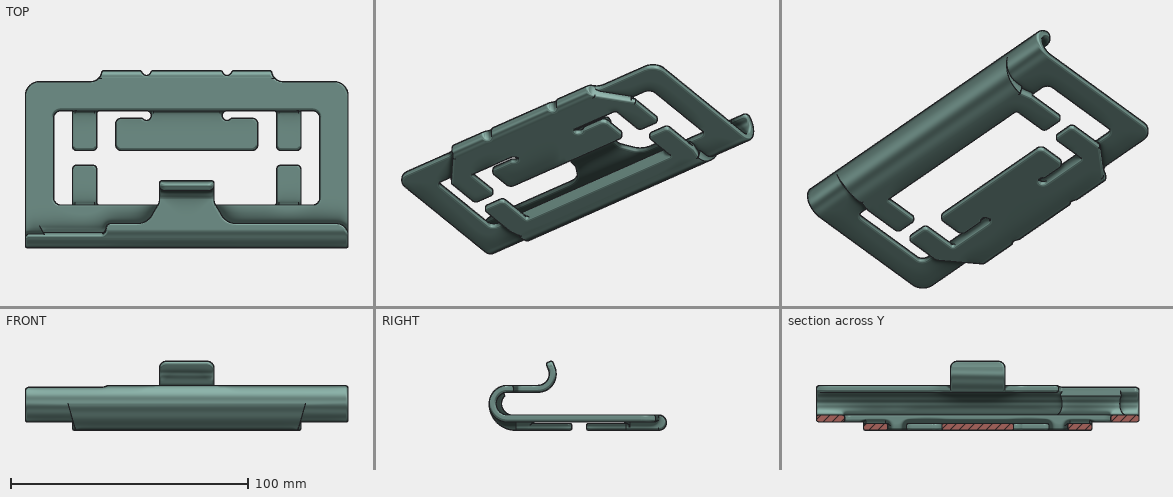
import cadquery as cq
import math

HALF_WIDTH = 68.0
THICKNESS = 3.0
LAYER_STEP = 0.5
TOTAL_DEPTH = 74.7
EDGE_ROUND = 1.0
CUT_MARGIN = 5.0
CREASE_ANGLE = 40.0
TOLERANCE = 0.001
FRONT_BELOW = 225

PLATE_BOTTOM = THICKNESS + LAYER_STEP
PLATE_MIDDLE = PLATE_BOTTOM + THICKNESS / 2
PLATE_TOP = PLATE_BOTTOM + THICKNESS
FOLD_RADIUS = PLATE_TOP / 2
FOLD_Y = TOTAL_DEPTH - FOLD_RADIUS

LIP_TOP = 19.0
LIP_BOTTOM = LIP_TOP - THICKNESS
BEND_RADIUS = (LIP_TOP - PLATE_BOTTOM) / 2
BEND_INNER = BEND_RADIUS - THICKNESS
BEND_Y = BEND_RADIUS
BEND_Z = PLATE_BOTTOM + BEND_RADIUS
LIP_EDGE_Y = 10.25
LIP_CORNER = 5.0

HOOK_HALF_WIDTH = 11.5
HOOK_Y = 20.57
HOOK_Z = LIP_BOTTOM + BEND_RADIUS
HOOK_LEAN = 22.0
HOOK_TIP = 3.03
HOOK_TIP_CORNER = 3.0
NECK_SLOPE = 30.0
NECK_TOP_Y = 19.3
NECK_FILLET = 7.0

PLATE_BACK_Y = 70.1
PLATE_CORNER = 6.0
FLAP_HALF_WIDTH = 35.8
FLAP_FILLET = TOTAL_DEPTH - PLATE_BACK_Y
WINDOW_HALF_WIDTH = 56.0
WINDOW_FRONT_Y = 18.1
WINDOW_BACK_Y = 57.75
WINDOW_CORNER = 3.0

NOTCH_ANGLE = 19.0
NOTCH_X = -34.0
NOTCH_ROUND = 2.0

TAB_X = 43.0
TAB_HALF_WIDTH = 5.15
TAB_OUTER = TAB_X + TAB_HALF_WIDTH
TAB_INNER = TAB_X - TAB_HALF_WIDTH
TAB_CORNER = 1.8
TAB_ROOT_ROUND = 1.0
BACK_TAB_END_Y = 41.0
FRONT_TAB_END_Y = 34.9
FRONT_TAB_ROOT_Y = 16.5

HEAD_HALF_WIDTH = 30.0
HEAD_BACK_Y = 54.7
HEAD_CORNER = 2.5
RELIEF_X = 17.0
RELIEF_RADIUS = 2.0
RELIEF_Y = WINDOW_BACK_Y - RELIEF_RADIUS

SKIRT_TOP_HALF_WIDTH = 50.0
SKIRT_BOTTOM_HALF_WIDTH = 46.8
SKIRT_RADIUS = BEND_Z

PAD_RADIUS = 4.82
PAD_SHIFT = 2.37
PAD_LEFT = -62.0
PAD_RIGHT = -33.3
PAD_TAPER = 0.55


def side_profile():
    """Start a profile whose coordinates are (Y, Z)."""
    return cq.Workplane("YZ")


def extrude_across(profile, half_width):
    """Extrude a side profile equally to both sides along X."""
    return profile.extrude(half_width, both=True)


def slab(outline, z_low, z_high):
    """Extrude an XY outline between two heights."""
    return outline.extrude(z_high - z_low).translate((0, 0, z_low))


def box(x_range, y_range, z_range):
    size = [high - low for low, high in (x_range, y_range, z_range)]
    corner = (x_range[0], y_range[0], z_range[0])
    return cq.Workplane("XY").box(*size, centered=False).translate(corner)


def is_sharp(edge, faces):
    """True where two faces meet at a crease instead of running on smoothly."""
    middle = edge.positionAt(0.5)
    normals = [face.normalAt(middle) for face in faces]
    return abs(normals[0].dot(normals[1])) < math.cos(math.radians(CREASE_ANGLE))


def is_joint(face):
    """True for the flat faces where two pieces of the part are put together."""
    bounds = face.BoundingBox()
    if bounds.zlen < TOLERANCE:
        return abs(bounds.zmin - PLATE_MIDDLE) < TOLERANCE
    joint_planes = (FOLD_Y, SKIRT_RADIUS)
    return bounds.ylen < TOLERANCE and any(abs(bounds.ymin - y) < TOLERANCE for y in joint_planes)


def round_sheet_edges(body):
    """Round every crease of a sheet body that is not on a joint."""
    neighbours = {}
    for face in body.faces().vals():
        for edge in face.Edges():
            neighbours.setdefault(edge.hashCode(), (edge, []))[1].append(face)
    creases = [
        edge
        for edge, faces in neighbours.values()
        if len(faces) == 2 and is_sharp(edge, faces) and not any(is_joint(face) for face in faces)
    ]
    return body.newObject(creases).fillet(EDGE_ROUND)


def polar(y, z, radius, degrees):
    """Point at a radius and direction from a centre in the YZ plane."""
    angle = math.radians(degrees)
    return (y + radius * math.cos(angle), z + radius * math.sin(angle))


def make_plate_and_hook():
    """Plate, front bend, lip and hook as one sheet with rounded edges."""
    tip = polar(0, 0, HOOK_TIP, 90 - HOOK_LEAN)
    outer_end = polar(HOOK_Y, HOOK_Z, BEND_RADIUS, HOOK_LEAN)
    inner_end = polar(HOOK_Y, HOOK_Z, BEND_INNER, HOOK_LEAN)
    outer_tip = (outer_end[0] - tip[0], outer_end[1] + tip[1])
    inner_tip = (inner_end[0] - tip[0], inner_end[1] + tip[1])
    arc_middle = (HOOK_LEAN - 90) / 2
    profile = (
        side_profile()
        .moveTo(FOLD_Y, PLATE_TOP)
        .lineTo(BEND_Y, PLATE_TOP)
        .threePointArc((BEND_Y - BEND_INNER, BEND_Z), (BEND_Y, LIP_BOTTOM))
        .lineTo(HOOK_Y, LIP_BOTTOM)
        .threePointArc(polar(HOOK_Y, HOOK_Z, BEND_RADIUS, arc_middle), outer_end)
        .lineTo(*outer_tip)
        .lineTo(*inner_tip)
        .lineTo(*inner_end)
        .threePointArc(polar(HOOK_Y, HOOK_Z, BEND_INNER, arc_middle), (HOOK_Y, LIP_TOP))
        .lineTo(BEND_Y, LIP_TOP)
        .threePointArc((0, BEND_Z), (BEND_Y, PLATE_BOTTOM))
        .lineTo(FOLD_Y, PLATE_BOTTOM)
        .close()
    )
    sheet = extrude_across(profile, HALF_WIDTH)
    trim = slab(plate_outline(), 0, BEND_Z)
    trim = trim.union(slab(lip_outline(), BEND_Z, HOOK_Z + 2 * BEND_RADIUS))
    sheet = sheet.intersect(trim)
    sheet = sheet.cut(slab(window_outline(), 0, BEND_Z))
    sheet = sheet.cut(notch_tool())
    lip_corner = cq.selectors.NearestToPointSelector((NOTCH_X, LIP_EDGE_Y, LIP_TOP - THICKNESS / 2))
    sheet = sheet.edges(lip_corner).fillet(NOTCH_ROUND)
    for side in (-1, 1):
        sheet = sheet.cut(hook_corner_tool(side, outer_tip))
    return round_sheet_edges(sheet)


def make_fold():
    """Half-round back edge, notched by two round holes."""
    roll = extrude_across(
        side_profile()
        .moveTo(FOLD_Y, 0)
        .threePointArc((TOTAL_DEPTH, FOLD_RADIUS), (FOLD_Y, PLATE_TOP))
        .close(),
        HALF_WIDTH,
    )
    roll = roll.intersect(slab(plate_outline(), 0, PLATE_TOP))
    centres = [(-RELIEF_X, TOTAL_DEPTH), (RELIEF_X, TOTAL_DEPTH)]
    holes = cq.Workplane("XY").pushPoints(centres).circle(RELIEF_RADIUS)
    return round_sheet_edges(roll.cut(slab(holes, 0, PLATE_TOP)))


def make_lower_layer(outline, strip_y_range):
    """Tabs under the plate, joined by a strip that rises into the plate flush with the window."""
    x_range = (-HALF_WIDTH, HALF_WIDTH)
    layer = slab(outline, 0, PLATE_MIDDLE)
    tabs = layer.intersect(box(x_range, (0, TOTAL_DEPTH), (0, THICKNESS)))
    strip = layer.intersect(box(x_range, strip_y_range, (0, PLATE_MIDDLE)))
    return round_sheet_edges(tabs).union(round_sheet_edges(strip))


def make_cove(x_middle, half_width, wall_y, into_window):
    """Concave rounding where a tab's top meets the wall of the window."""
    embed = THICKNESS / 2
    buried_y = wall_y - into_window * embed
    front_y = wall_y + into_window * EDGE_ROUND
    profile = (
        side_profile()
        .moveTo(buried_y, THICKNESS - embed)
        .lineTo(front_y, THICKNESS - embed)
        .lineTo(front_y, THICKNESS)
        .radiusArc((wall_y, THICKNESS + EDGE_ROUND), into_window * EDGE_ROUND)
        .lineTo(buried_y, THICKNESS + EDGE_ROUND)
        .close()
    )
    return extrude_across(profile, half_width).translate((x_middle, 0, 0))


def make_coves():
    """Coves at the root of the central tab and of the four side tabs."""
    flat_half_width = TAB_HALF_WIDTH - EDGE_ROUND
    neck_half_width = RELIEF_X - RELIEF_RADIUS - EDGE_ROUND
    coves = make_cove(0, neck_half_width, WINDOW_BACK_Y, -1)
    for x_middle in (-TAB_X, TAB_X):
        coves = coves.union(make_cove(x_middle, flat_half_width, WINDOW_BACK_Y, -1))
        coves = coves.union(make_cove(x_middle, flat_half_width, WINDOW_FRONT_Y, 1))
    return coves


def plate_outline():
    """Plate with rounded back corners and the narrower flap flaring into it."""
    flare_y = PLATE_BACK_Y + FLAP_FILLET
    return (
        cq.Workplane("XY")
        .moveTo(-HALF_WIDTH, 0)
        .lineTo(HALF_WIDTH, 0)
        .lineTo(HALF_WIDTH, PLATE_BACK_Y - PLATE_CORNER)
        .radiusArc((HALF_WIDTH - PLATE_CORNER, PLATE_BACK_Y), -PLATE_CORNER)
        .lineTo(FLAP_HALF_WIDTH + FLAP_FILLET, PLATE_BACK_Y)
        .radiusArc((FLAP_HALF_WIDTH, flare_y), FLAP_FILLET)
        .lineTo(-FLAP_HALF_WIDTH, flare_y)
        .radiusArc((-FLAP_HALF_WIDTH - FLAP_FILLET, PLATE_BACK_Y), FLAP_FILLET)
        .lineTo(PLATE_CORNER - HALF_WIDTH, PLATE_BACK_Y)
        .radiusArc((-HALF_WIDTH, PLATE_BACK_Y - PLATE_CORNER), -PLATE_CORNER)
        .close()
    )


def window_outline():
    """Rectangular window with rounded corners."""
    depth = WINDOW_BACK_Y - WINDOW_FRONT_Y
    middle = (WINDOW_BACK_Y + WINDOW_FRONT_Y) / 2
    sketch = cq.Sketch().rect(2 * WINDOW_HALF_WIDTH, depth).vertices().fillet(WINDOW_CORNER)
    return cq.Workplane("XY").center(0, middle).placeSketch(sketch)


def lip_outline():
    """Lip with the hook neck flaring into it; the right-hand corner is rounded."""
    slope = math.tan(math.radians(NECK_SLOPE))
    neck_root = HOOK_HALF_WIDTH + slope * (NECK_TOP_Y - LIP_EDGE_Y)
    reach = NECK_FILLET * math.tan(math.radians(90 - NECK_SLOPE) / 2)
    flank_x = neck_root - reach * math.sin(math.radians(NECK_SLOPE))
    flank_y = LIP_EDGE_Y + reach * math.cos(math.radians(NECK_SLOPE))
    run = HOOK_Y - NECK_TOP_Y
    neck_round = run / math.tan(math.radians(NECK_SLOPE) / 2)
    neck_x = HOOK_HALF_WIDTH + run * math.sin(math.radians(NECK_SLOPE))
    neck_y = NECK_TOP_Y - run * math.cos(math.radians(NECK_SLOPE))
    hook_back = HOOK_Y + BEND_RADIUS + CUT_MARGIN
    return (
        cq.Workplane("XY")
        .moveTo(-HALF_WIDTH, 0)
        .lineTo(HALF_WIDTH, 0)
        .lineTo(HALF_WIDTH, LIP_EDGE_Y - LIP_CORNER)
        .radiusArc((HALF_WIDTH - LIP_CORNER, LIP_EDGE_Y), -LIP_CORNER)
        .lineTo(neck_root + reach, LIP_EDGE_Y)
        .radiusArc((flank_x, flank_y), NECK_FILLET)
        .lineTo(neck_x, neck_y)
        .radiusArc((HOOK_HALF_WIDTH, HOOK_Y), neck_round)
        .lineTo(HOOK_HALF_WIDTH, hook_back)
        .lineTo(-HOOK_HALF_WIDTH, hook_back)
        .lineTo(-HOOK_HALF_WIDTH, HOOK_Y)
        .radiusArc((-neck_x, neck_y), neck_round)
        .lineTo(-flank_x, flank_y)
        .radiusArc((-neck_root - reach, LIP_EDGE_Y), NECK_FILLET)
        .lineTo(-HALF_WIDTH, LIP_EDGE_Y)
        .close()
    )


def back_layer_outline():
    """Strip in front of the fold, with two side tabs and the central T-shaped tab."""
    rise = FLAP_FILLET - (FOLD_Y - PLATE_BACK_Y)
    fold_end = FLAP_HALF_WIDTH + FLAP_FILLET - math.sqrt(FLAP_FILLET**2 - rise**2)
    relief_dip = RELIEF_Y - HEAD_BACK_Y
    relief_end = RELIEF_X + math.sqrt(RELIEF_RADIUS**2 - relief_dip**2)
    half = (
        cq.Workplane("XY")
        .moveTo(0, FOLD_Y)
        .lineTo(fold_end, FOLD_Y)
        .lineTo(TAB_OUTER, WINDOW_BACK_Y)
        .lineTo(TAB_OUTER, BACK_TAB_END_Y + TAB_CORNER)
        .radiusArc((TAB_OUTER - TAB_CORNER, BACK_TAB_END_Y), TAB_CORNER)
        .lineTo(TAB_INNER + TAB_CORNER, BACK_TAB_END_Y)
        .radiusArc((TAB_INNER, BACK_TAB_END_Y + TAB_CORNER), TAB_CORNER)
        .lineTo(TAB_INNER, WINDOW_BACK_Y - TAB_ROOT_ROUND)
        .radiusArc((TAB_INNER - TAB_ROOT_ROUND, WINDOW_BACK_Y), -TAB_ROOT_ROUND)
        .lineTo(RELIEF_X, WINDOW_BACK_Y)
        .threePointArc((RELIEF_X - RELIEF_RADIUS, RELIEF_Y), (relief_end, HEAD_BACK_Y))
        .lineTo(HEAD_HALF_WIDTH - HEAD_CORNER, HEAD_BACK_Y)
        .radiusArc((HEAD_HALF_WIDTH, HEAD_BACK_Y - HEAD_CORNER), HEAD_CORNER)
        .lineTo(HEAD_HALF_WIDTH, BACK_TAB_END_Y + HEAD_CORNER)
        .radiusArc((HEAD_HALF_WIDTH - HEAD_CORNER, BACK_TAB_END_Y), HEAD_CORNER)
        .lineTo(0, BACK_TAB_END_Y)
    )
    return half.mirrorY()


def notch_plane():
    """Radial plane of the bend: local x along X, local y towards the lip's free edge."""
    angle = math.radians(NOTCH_ANGLE)
    return cq.Plane(
        origin=(0, BEND_Y, BEND_Z),
        xDir=(1, 0, 0),
        normal=(0, -math.sin(angle), math.cos(angle)),
    )


def notch_half_space():
    """Everything on the free side of the notch floor, above the bend axis."""
    span = 2 * HALF_WIDTH
    return cq.Workplane(notch_plane()).center(0, span / 2).rect(span, span).extrude(span)


def notch_tool():
    """Cutter that shortens the lip's left part square to the bend."""
    return (
        cq.Workplane(notch_plane())
        .moveTo(-HALF_WIDTH, -NOTCH_ROUND)
        .radiusArc((NOTCH_ROUND - HALF_WIDTH, 0), NOTCH_ROUND)
        .lineTo(NOTCH_X - NOTCH_ROUND, 0)
        .radiusArc((NOTCH_X, NOTCH_ROUND), -NOTCH_ROUND)
        .lineTo(NOTCH_X, 2 * LIP_EDGE_Y)
        .lineTo(-HALF_WIDTH - CUT_MARGIN, 2 * LIP_EDGE_Y)
        .lineTo(-HALF_WIDTH - CUT_MARGIN, -NOTCH_ROUND)
        .close()
        .extrude(2 * BEND_RADIUS)
    )


def hook_corner_tool(side, outer_tip):
    """Cutter rounding one corner of the hook tip, square to the leaning tip."""
    lean = math.radians(HOOK_LEAN)
    plane = cq.Plane(
        origin=(0, *outer_tip),
        xDir=(1, 0, 0),
        normal=(0, math.cos(lean), math.sin(lean)),
    )
    edge = side * HOOK_HALF_WIDTH
    inner = side * (HOOK_HALF_WIDTH - HOOK_TIP_CORNER)
    return (
        cq.Workplane(plane)
        .moveTo(edge, HOOK_TIP_CORNER)
        .radiusArc((inner, 0), side * HOOK_TIP_CORNER)
        .lineTo(inner, -CUT_MARGIN)
        .lineTo(edge + side * CUT_MARGIN, -CUT_MARGIN)
        .lineTo(edge + side * CUT_MARGIN, HOOK_TIP_CORNER)
        .close()
        .extrude(2 * THICKNESS, both=True)
    )


def front_layer_outline():
    """Strip behind the skirt with two tabs."""
    half = (
        cq.Workplane("XY")
        .moveTo(0, SKIRT_RADIUS)
        .lineTo(SKIRT_BOTTOM_HALF_WIDTH, SKIRT_RADIUS)
        .lineTo(TAB_OUTER, FRONT_TAB_ROOT_Y)
        .lineTo(TAB_OUTER, FRONT_TAB_END_Y - TAB_CORNER)
        .radiusArc((TAB_OUTER - TAB_CORNER, FRONT_TAB_END_Y), -TAB_CORNER)
        .lineTo(TAB_INNER + TAB_CORNER, FRONT_TAB_END_Y)
        .radiusArc((TAB_INNER, FRONT_TAB_END_Y - TAB_CORNER), -TAB_CORNER)
        .lineTo(TAB_INNER, WINDOW_FRONT_Y + TAB_ROOT_ROUND)
        .radiusArc((TAB_INNER - TAB_ROOT_ROUND, WINDOW_FRONT_Y), TAB_ROOT_ROUND)
        .lineTo(0, WINDOW_FRONT_Y)
    )
    return half.mirrorY()


def make_skirt():
    """Curved outer layer from the middle of the front bend down to the front tabs."""
    buried = BEND_RADIUS - THICKNESS / 2
    body = extrude_across(
        side_profile()
        .moveTo(0, BEND_Z)
        .threePointArc(polar(SKIRT_RADIUS, BEND_Z, SKIRT_RADIUS, FRONT_BELOW), (SKIRT_RADIUS, 0))
        .lineTo(SKIRT_RADIUS, PLATE_MIDDLE)
        .lineTo(BEND_Y, PLATE_MIDDLE)
        .threePointArc(polar(BEND_Y, BEND_Z, buried, FRONT_BELOW), (BEND_Y - buried, BEND_Z))
        .close(),
        HALF_WIDTH,
    )
    trapezoid = (
        cq.Workplane("XZ")
        .moveTo(-SKIRT_BOTTOM_HALF_WIDTH, 0)
        .lineTo(SKIRT_BOTTOM_HALF_WIDTH, 0)
        .lineTo(SKIRT_TOP_HALF_WIDTH, BEND_Z)
        .lineTo(-SKIRT_TOP_HALF_WIDTH, BEND_Z)
        .close()
        .extrude(-SKIRT_RADIUS)
    )
    return body.intersect(trapezoid)


def make_pad():
    """Thickened stretch inside the front bend, with slanted ends, ending at the notch."""
    back = BEND_Y + PAD_SHIFT - math.sqrt(PAD_RADIUS**2 - BEND_INNER**2)
    embed = THICKNESS / 2
    outer = BEND_INNER + embed
    crescent = (
        side_profile()
        .moveTo(back, BEND_Z - outer)
        .lineTo(BEND_Y, BEND_Z - outer)
        .threePointArc((BEND_Y - outer, BEND_Z), (BEND_Y, BEND_Z + outer))
        .lineTo(back, BEND_Z + outer)
        .lineTo(back, BEND_Z + BEND_INNER)
        .threePointArc((BEND_Y + PAD_SHIFT - PAD_RADIUS, BEND_Z), (back, BEND_Z - BEND_INNER))
        .close()
    )
    taper = PAD_TAPER * back
    ends = (
        cq.Workplane("XY")
        .moveTo(PAD_LEFT, back)
        .lineTo(PAD_RIGHT, back)
        .lineTo(PAD_RIGHT - taper, 0)
        .lineTo(PAD_LEFT + taper, 0)
        .close()
    )
    pad = extrude_across(crescent, HALF_WIDTH).intersect(slab(ends, 0, LIP_TOP))
    return pad.cut(notch_half_space())


front_layer = make_lower_layer(front_layer_outline(), (SKIRT_RADIUS, WINDOW_FRONT_Y))
back_layer = make_lower_layer(back_layer_outline(), (WINDOW_BACK_Y, FOLD_Y))
result = make_plate_and_hook()
for piece in (make_fold(), back_layer, make_skirt(), front_layer, make_coves(), make_pad()):
    result = result.union(piece)